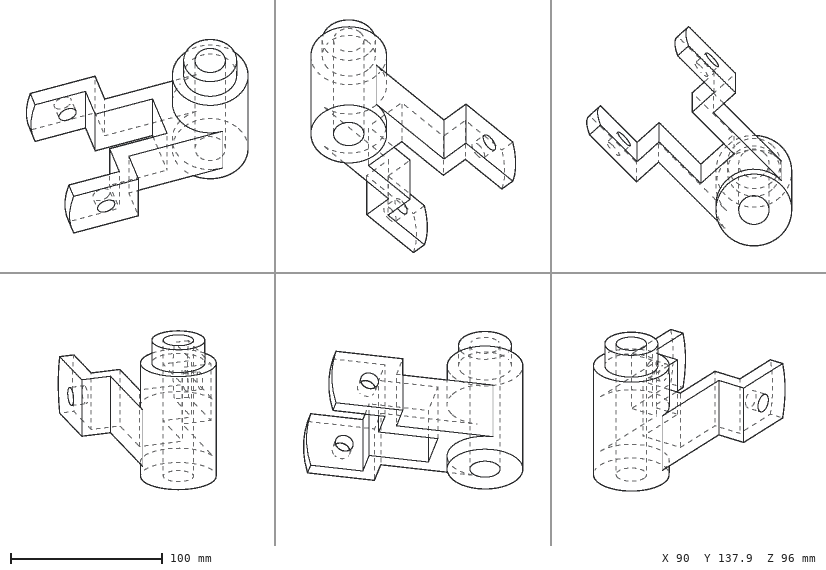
import cadquery as cq

overall_width = 90.0
overall_length = 137.9
overall_height = 96.0

barrel_diameter = 50.0
barrel_height = 80.0
collar_diameter = 35.0
bore_diameter = 20.0

fork_bottom = 10.0
fork_height = 40.0
slot_width = 30.0
slot_start = 35.0
shoulder_start = 65.0
tab_corner = 110.0
pin_distance = 87.5
pin_diameter = 12.0

wall = (barrel_diameter - slot_width) / 2
tab_tip = overall_length - barrel_diameter / 2
tab_gap = overall_width - 2 * wall
shoulder_end = shoulder_start + wall
fork_top = fork_bottom + fork_height
fork_middle = fork_bottom + fork_height / 2


def box_along_fork(width, start, end):
    """Box centred on X, spanning two distances from the barrel axis, as tall as the fork."""
    return (
        cq.Workplane("XY")
        .box(width, end - start, fork_height, centered=(True, False, False))
        .translate((0, -end, fork_bottom))
    )


def make_barrel():
    """Barrel with a narrower collar on top, before boring."""
    return (
        cq.Workplane("XY")
        .circle(barrel_diameter / 2)
        .extrude(barrel_height)
        .faces(">Z")
        .workplane()
        .circle(collar_diameter / 2)
        .extrude(overall_height - barrel_height)
    )


def make_tabs():
    """Outer block with arched tips, split into two tabs by the gap between them."""
    block = (
        cq.Workplane("YZ")
        .moveTo(-shoulder_start, fork_bottom)
        .lineTo(-tab_corner, fork_bottom)
        .threePointArc((-tab_tip, fork_middle), (-tab_corner, fork_top))
        .lineTo(-shoulder_start, fork_top)
        .close()
        .extrude(overall_width / 2, both=True)
    )
    return block.cut(box_along_fork(tab_gap, shoulder_end, tab_tip))


def make_pin_holes():
    """Cutter for the coaxial pin holes through both tabs."""
    return (
        cq.Workplane("YZ")
        .center(-pin_distance, fork_middle)
        .circle(pin_diameter / 2)
        .extrude(overall_width / 2, both=True)
    )


arms = box_along_fork(barrel_diameter, 0, shoulder_end)
slot = box_along_fork(slot_width, slot_start, shoulder_end)
bore = cq.Workplane("XY").circle(bore_diameter / 2).extrude(overall_height)

fork = arms.union(make_tabs()).cut(slot).cut(make_pin_holes())
result = make_barrel().union(fork).cut(bore)